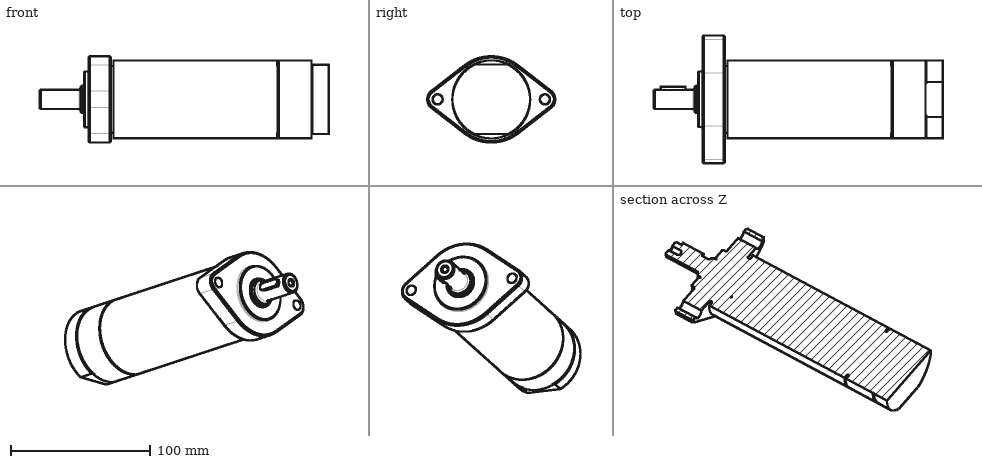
import cadquery as cq
import math

SHAFT_TIP_X = 0.0
COLLAR_X = 29.5
COLLAR_BEVEL_END_X = 30.7
PILOT_X = 32.0
FLANGE_X = 35.0
FLANGE_END_X = 51.0
BODY_X = 52.9
BODY_END_X = 170.5
CAP_X = 171.5
CAP_END_X = 195.0
TAIL_END_X = 207.5

SHAFT_D = 14.0
COLLAR_FACE_D = 17.5
COLLAR_D = 20.0
PILOT_D = 40.0
NECK_D = 48.1
GROOVE_D = 48.3
BODY_D = 56.0

SHAFT_CHAMFER = 1.0
SHAFT_ROOT_FILLET = 1.2
CENTRE_HOLE_D = 4.1
CENTRE_HOLE_DEPTH = 8.3
COUNTERSINK_D = 5.5
COUNTERSINK_ANGLE = 90.0
DRILL_POINT_ANGLE = 118.0

KEY_START_X = 5.0
KEY_LENGTH = 18.0
KEY_WIDTH = 5.0
KEY_BASE_Y = 4.1
KEY_TOP_Y = 9.1

SEAT_D = 21.0
SEAT_DEPTH = 1.0

PILOT_CHAMFER = 0.6
PILOT_ROOT_FILLET = 0.6

FLANGE_D = 62.0
EAR_D = 15.0
FLANGE_WIDTH = 91.9
EAR_OFFSET = (FLANGE_WIDTH - EAR_D) / 2
MOUNT_HOLE_D = 7.0
FLANGE_CHAMFER = 1.0

ACROSS_FLATS = 50.0
TAIL_RELIEF_LENGTH = 0.8
TAIL_RELIEF_D = 55.2


def disc(diameter, start_x, end_x):
    """Cylinder on the X axis between two stations."""
    return cq.Workplane("YZ", origin=(start_x, 0, 0)).circle(diameter / 2).extrude(end_x - start_x)


def revolve_about_x(profile):
    """Full turn of a closed half profile about the X axis."""
    return profile.close().revolve(360, (0, 0, 0), (1, 0, 0))


def cone_depth(radial_change, full_angle):
    """Axial length over which a cone of the given full angle changes radius by the given amount."""
    return radial_change / math.tan(math.radians(full_angle / 2))


def make_centre_hole():
    """Countersunk blind hole with a drill point at its bottom."""
    hole_radius = CENTRE_HOLE_D / 2
    sink_radius = COUNTERSINK_D / 2
    sink_end_x = SHAFT_TIP_X + cone_depth(sink_radius - hole_radius, COUNTERSINK_ANGLE)
    bore_end_x = SHAFT_TIP_X + CENTRE_HOLE_DEPTH
    point_x = bore_end_x + cone_depth(hole_radius, DRILL_POINT_ANGLE)
    profile = [
        (SHAFT_TIP_X, 0),
        (SHAFT_TIP_X, sink_radius),
        (sink_end_x, hole_radius),
        (bore_end_x, hole_radius),
        (point_x, 0),
    ]
    return revolve_about_x(cq.Workplane("XY").polyline(profile))


def make_shaft():
    shaft = disc(SHAFT_D, SHAFT_TIP_X, PILOT_X).faces("<X").chamfer(SHAFT_CHAMFER)
    return shaft.cut(make_centre_hole())


def make_key():
    """Round-ended key whose base is sunk into the shaft, clear of the centre hole."""
    return (
        cq.Workplane("XZ", origin=(KEY_START_X + KEY_LENGTH / 2, KEY_BASE_Y, 0))
        .slot2D(KEY_LENGTH, KEY_WIDTH)
        .extrude(KEY_BASE_Y - KEY_TOP_Y)
    )


def root_fillet(profile, wall_x, radius, fillet):
    """Extend a half profile by a concave quarter circle from a cylinder up into a wall at wall_x."""
    offset = fillet * math.sin(math.radians(45))
    middle = (wall_x - fillet + offset, radius + fillet - offset)
    return profile.lineTo(wall_x - fillet, radius).threePointArc(middle, (wall_x, radius + fillet))


def make_collar():
    """Bevelled collar, filleted into the shaft, that reaches down to the floor of its seat."""
    floor_x = PILOT_X + SEAT_DEPTH
    profile = cq.Workplane("XY").moveTo(COLLAR_X - SHAFT_ROOT_FILLET, 0)
    profile = (
        root_fillet(profile, COLLAR_X, SHAFT_D / 2, SHAFT_ROOT_FILLET)
        .lineTo(COLLAR_X, COLLAR_FACE_D / 2)
        .lineTo(COLLAR_BEVEL_END_X, COLLAR_D / 2)
        .lineTo(floor_x, COLLAR_D / 2)
        .lineTo(floor_x, 0)
    )
    return revolve_about_x(profile)


def make_pilot():
    """Centring disc, chamfered in front and filleted into the flange, with the collar seat in it."""
    radius = PILOT_D / 2
    profile = (
        cq.Workplane("XY")
        .moveTo(PILOT_X, 0)
        .lineTo(PILOT_X, radius - PILOT_CHAMFER)
        .lineTo(PILOT_X + PILOT_CHAMFER, radius)
    )
    profile = root_fillet(profile, FLANGE_X, radius, PILOT_ROOT_FILLET).lineTo(FLANGE_X, 0)
    return revolve_about_x(profile).cut(disc(SEAT_D, PILOT_X, PILOT_X + SEAT_DEPTH))


def make_flange():
    """Plate whose outline joins a large circle to two small ear circles by tangent lines."""
    radius = FLANGE_D / 2
    ear_radius = EAR_D / 2
    cosine = (radius - ear_radius) / EAR_OFFSET
    sine = math.sqrt(1 - cosine**2)
    side_y, side_z = radius * cosine, radius * sine
    ear_y, ear_z = EAR_OFFSET + ear_radius * cosine, ear_radius * sine
    tip_y = FLANGE_WIDTH / 2
    plate = (
        cq.Workplane("YZ", origin=(FLANGE_X, 0, 0))
        .moveTo(-side_y, side_z)
        .threePointArc((0, radius), (side_y, side_z))
        .lineTo(ear_y, ear_z)
        .threePointArc((tip_y, 0), (ear_y, -ear_z))
        .lineTo(side_y, -side_z)
        .threePointArc((0, -radius), (-side_y, -side_z))
        .lineTo(-ear_y, -ear_z)
        .threePointArc((-tip_y, 0), (-ear_y, ear_z))
        .close()
        .extrude(FLANGE_END_X - FLANGE_X)
        .faces("<X or >X")
        .chamfer(FLANGE_CHAMFER)
    )
    for hole_y in (-EAR_OFFSET, EAR_OFFSET):
        plate = plate.cut(disc(MOUNT_HOLE_D, FLANGE_X, FLANGE_END_X).translate((0, hole_y, 0)))
    return plate


def make_body():
    body = disc(NECK_D, FLANGE_END_X, BODY_X)
    body = body.union(disc(BODY_D, BODY_X, BODY_END_X))
    body = body.union(disc(GROOVE_D, BODY_END_X, CAP_X))
    return body.union(disc(BODY_D, CAP_X, CAP_END_X))


def make_tail():
    relief_end_x = CAP_END_X + TAIL_RELIEF_LENGTH
    tail = disc(TAIL_RELIEF_D, CAP_END_X, relief_end_x)
    tail = tail.union(disc(BODY_D, relief_end_x, TAIL_END_X))
    length = TAIL_END_X - CAP_END_X
    flats = cq.Workplane("XY").box(length, BODY_D, ACROSS_FLATS)
    return tail.intersect(flats.translate((CAP_END_X + length / 2, 0, 0)))


result = (
    make_shaft()
    .union(make_key())
    .union(make_collar())
    .union(make_pilot())
    .union(make_flange())
    .union(make_body())
    .union(make_tail())
)